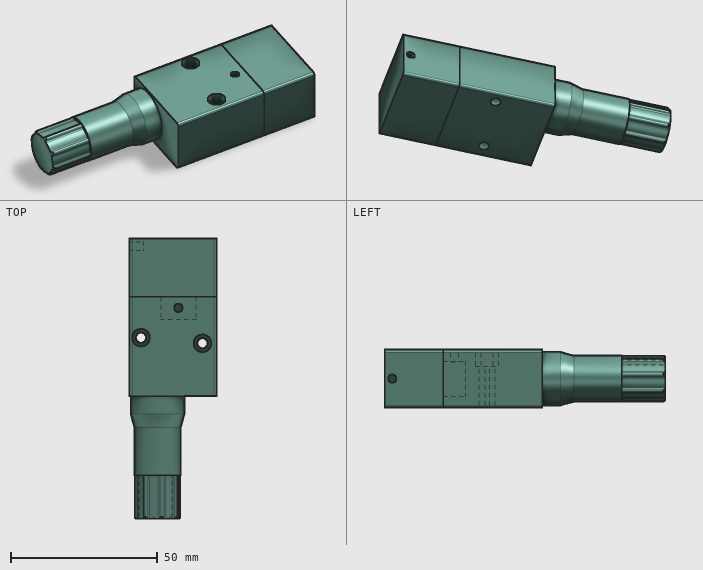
import cadquery as cq
import math


TOTAL_LENGTH = 96.0

BLOCK_WIDTH = 30.0
BLOCK_HEIGHT = 20.0
HOUSING_LENGTH = 34.0
CAP_LENGTH = 20.0
EDGE_RADIUS = 1.0
AXIS_TO_SIDE = 9.7
BLOCK_LEFT = -AXIS_TO_SIDE
BLOCK_TOP = BLOCK_HEIGHT / 2

BOLT_HOLES = [
    (BLOCK_LEFT + 4.0, 20.0),
    (BLOCK_LEFT + 25.1, 18.0),
]
BOLT_DIAMETER = 3.5
COUNTERBORE_DIAMETER = 6.0
COUNTERBORE_DEPTH = 5.8

ROD_RADIUS = 6.0
ROD_X = BLOCK_LEFT + 16.8
SMALL_HOLE_DIAMETER = 2.9
TOP_HOLE_TO_CAP = 3.8
TOP_HOLE_Y = HOUSING_LENGTH - TOP_HOLE_TO_CAP
ROD_LENGTH = 2 * TOP_HOLE_TO_CAP

CAP_HOLE_TO_REAR = 2.6
CAP_HOLE_DEPTH = 4.8

FLANGE_RADIUS = 9.2
SLEEVE_RADIUS = 8.0
FLANGE_LENGTH = 6.0
TAPER_LENGTH = 4.6
SLEEVE_LENGTH = 16.5
BARREL_LENGTH = FLANGE_LENGTH + TAPER_LENGTH + SLEEVE_LENGTH

KNOB_LENGTH = TOTAL_LENGTH - CAP_LENGTH - HOUSING_LENGTH - BARREL_LENGTH
RIB_COUNT = 8
RIB_RADIUS = 0.8
RIB_FILLET = 0.7
FIRST_RIB_ANGLE = 34.0
KNOB_RADIUS = SLEEVE_RADIUS - RIB_RADIUS
KNOB_RIM_RADIUS = 1.0


def block(y_start, length):
    """Rectangular block along +Y with its four long edges rounded."""
    return (
        cq.Workplane("XY")
        .box(BLOCK_WIDTH, length, BLOCK_HEIGHT, centered=(False, False, True))
        .translate((BLOCK_LEFT, y_start, 0))
        .edges("|Y")
        .fillet(EDGE_RADIUS)
    )


def make_rod():
    return (
        cq.Workplane("XZ", origin=(ROD_X, HOUSING_LENGTH, 0))
        .circle(ROD_RADIUS)
        .extrude(ROD_LENGTH)
    )


def make_housing(rod):
    """Front block with the mounting holes, the top hole and the bore that holds the rod."""
    top = cq.Workplane("XY", origin=(0, 0, BLOCK_TOP))
    bolt_holes = top.pushPoints(BOLT_HOLES).circle(BOLT_DIAMETER / 2).extrude(-BLOCK_HEIGHT)
    counterbores = top.pushPoints(BOLT_HOLES).circle(COUNTERBORE_DIAMETER / 2).extrude(-COUNTERBORE_DEPTH)
    top_hole = top.center(ROD_X, TOP_HOLE_Y).circle(SMALL_HOLE_DIAMETER / 2).extrude(-BLOCK_TOP)
    return block(0, HOUSING_LENGTH).cut(bolt_holes).cut(counterbores).cut(top_hole).cut(rod)


def make_rear_cap():
    """Rear block with a blind hole in its -X side."""
    hole_y = HOUSING_LENGTH + CAP_LENGTH - CAP_HOLE_TO_REAR
    side_hole = (
        cq.Workplane("YZ", origin=(BLOCK_LEFT, hole_y, 0))
        .circle(SMALL_HOLE_DIAMETER / 2)
        .extrude(CAP_HOLE_DEPTH)
    )
    return block(HOUSING_LENGTH, CAP_LENGTH).cut(side_hole)


def make_barrel():
    """Turned barrel: flange, taper and sleeve."""
    return (
        cq.Workplane("XY")
        .lineTo(FLANGE_RADIUS, 0)
        .lineTo(FLANGE_RADIUS, -FLANGE_LENGTH)
        .lineTo(SLEEVE_RADIUS, -FLANGE_LENGTH - TAPER_LENGTH)
        .lineTo(SLEEVE_RADIUS, -BARREL_LENGTH)
        .lineTo(0, -BARREL_LENGTH)
        .close()
        .revolve(360, (0, 0), (0, 1))
    )


def polar(radius, angle):
    return (radius * math.cos(angle), radius * math.sin(angle))


def knob_outline():
    """Closed outline of the knob: a circle with round ribs, blended in by concave fillets.

    Each rib is an arc centred on the knob circle. Its fillet touches both that arc and the circle.
    """
    to_fillet = KNOB_RADIUS + RIB_FILLET
    rib_to_fillet = RIB_RADIUS + RIB_FILLET
    fillet_angle = math.acos(
        (KNOB_RADIUS**2 + to_fillet**2 - rib_to_fillet**2) / (2 * KNOB_RADIUS * to_fillet)
    )
    along = to_fillet * math.cos(fillet_angle) - KNOB_RADIUS
    across = to_fillet * math.sin(fillet_angle)
    share = RIB_RADIUS / rib_to_fillet
    crown_radius = math.hypot(KNOB_RADIUS + share * along, share * across)
    crown_angle = math.atan2(share * across, KNOB_RADIUS + share * along)
    centre = polar(to_fillet, fillet_angle)
    foot = polar(KNOB_RADIUS, fillet_angle)
    crown = polar(crown_radius, crown_angle)
    chord_x = (foot[0] + crown[0]) / 2 - centre[0]
    chord_y = (foot[1] + crown[1]) / 2 - centre[1]
    scale = RIB_FILLET / math.hypot(chord_x, chord_y)
    middle_x = centre[0] + scale * chord_x
    middle_y = centre[1] + scale * chord_y
    middle_radius = math.hypot(middle_x, middle_y)
    middle_angle = math.atan2(middle_y, middle_x)

    pitch = 2 * math.pi / RIB_COUNT
    first = math.radians(FIRST_RIB_ANGLE)
    outline = cq.Workplane("XZ", origin=(0, -BARREL_LENGTH, 0))
    outline = outline.moveTo(*polar(KNOB_RADIUS, first - fillet_angle))
    for number in range(RIB_COUNT):
        rib = first + number * pitch
        outline = (
            outline
            .threePointArc(polar(middle_radius, rib - middle_angle), polar(crown_radius, rib - crown_angle))
            .threePointArc(polar(SLEEVE_RADIUS, rib), polar(crown_radius, rib + crown_angle))
            .threePointArc(polar(middle_radius, rib + middle_angle), polar(KNOB_RADIUS, rib + fillet_angle))
            .threePointArc(
                polar(KNOB_RADIUS, rib + pitch / 2),
                polar(KNOB_RADIUS, rib + pitch - fillet_angle),
            )
        )
    return outline.close()


def make_knob():
    """Ribbed knob whose free end is rounded over."""
    rounded_envelope = (
        cq.Workplane("XZ", origin=(0, -BARREL_LENGTH, 0))
        .circle(SLEEVE_RADIUS)
        .extrude(KNOB_LENGTH)
        .faces("<Y")
        .edges()
        .fillet(KNOB_RIM_RADIUS)
    )
    return knob_outline().extrude(KNOB_LENGTH).intersect(rounded_envelope)


rod = make_rod()
housing = make_housing(rod)
rear_cap = make_rear_cap()
barrel = make_barrel()
knob = make_knob()

result = cq.Compound.makeCompound([
    housing.val(),
    rear_cap.val(),
    rod.val(),
    barrel.val(),
    knob.val(),
])